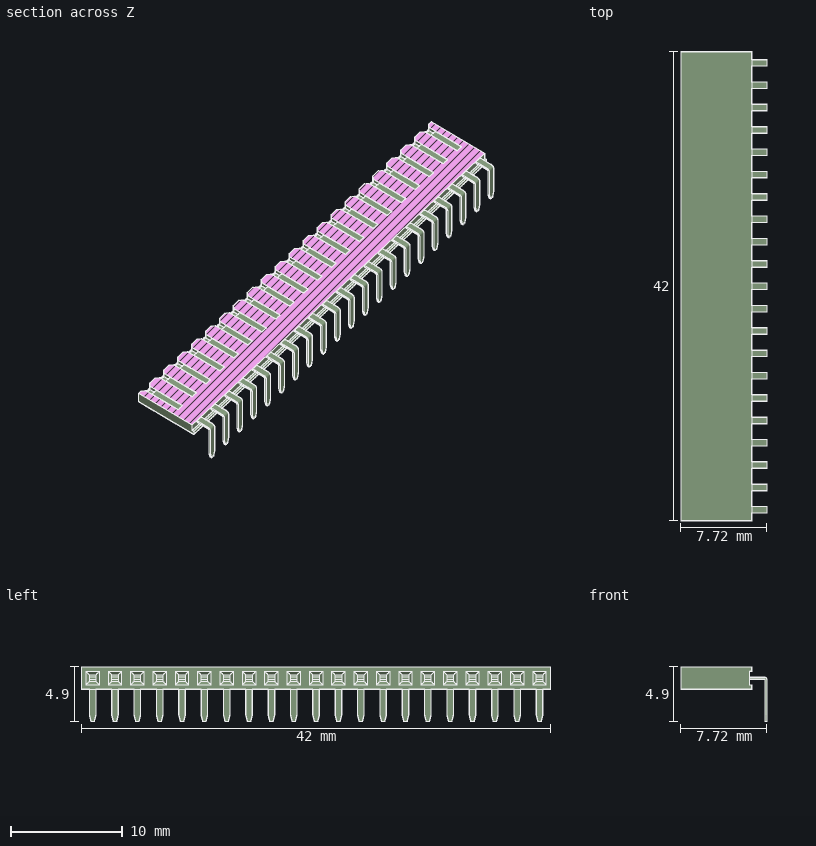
import cadquery as cq

PIN_COUNT = 21
PITCH = 2.0

BODY_DEPTH = 6.35
BODY_HEIGHT = 2.0
BODY_LENGTH = PIN_COUNT * PITCH
BACK_RECESS_DEPTH = 0.2
BACK_RECESS_HEIGHT = 1.2

FUNNEL_MOUTH = 1.2
FUNNEL_DEPTH = 0.3
HOLE_SIZE = 0.6
HOLE_DEPTH = 4.0

PIN_WIDTH = 0.6
PIN_THICKNESS = 0.2
BEND_INNER_RADIUS = 0.1
BEND_OUTER_RADIUS = BEND_INNER_RADIUS + PIN_THICKNESS
PIN_END_X = 7.72
PIN_BOTTOM_Z = -3.9
PIN_START_X = 1.0
TIP_WIDTH = 0.3
TIP_LENGTH = 0.6


def make_housing():
    """Long block with a groove along the whole +X face, centred on Z = 0."""
    block = cq.Workplane("XY").box(BODY_DEPTH, BODY_LENGTH, BODY_HEIGHT)
    block = block.translate((BODY_DEPTH / 2, 0, 0))
    recess = cq.Workplane("XY").box(2 * BACK_RECESS_DEPTH, BODY_LENGTH, BACK_RECESS_HEIGHT)
    return block.cut(recess.translate((BODY_DEPTH, 0, 0)))


def make_socket():
    """Cutter for one socket, opening at X = 0 and running in +X."""
    funnel = (
        cq.Workplane("YZ")
        .rect(FUNNEL_MOUTH, FUNNEL_MOUTH)
        .workplane(offset=FUNNEL_DEPTH)
        .rect(HOLE_SIZE, HOLE_SIZE)
        .loft(ruled=True)
    )
    hole = cq.Workplane("YZ").rect(HOLE_SIZE, HOLE_SIZE).extrude(HOLE_DEPTH)
    return funnel.union(hole)


def make_pin():
    """Flat strip bent down at a right angle, with a tapered tip."""
    top_z = PIN_THICKNESS / 2
    inner_x = PIN_END_X - PIN_THICKNESS
    bend_x = PIN_END_X - BEND_OUTER_RADIUS
    bend_z = top_z - BEND_OUTER_RADIUS
    strip = (
        cq.Workplane("XZ")
        .moveTo(PIN_START_X, top_z)
        .lineTo(bend_x, top_z)
        .radiusArc((PIN_END_X, bend_z), BEND_OUTER_RADIUS)
        .lineTo(PIN_END_X, PIN_BOTTOM_Z)
        .lineTo(inner_x, PIN_BOTTOM_Z)
        .lineTo(inner_x, bend_z)
        .radiusArc((bend_x, -top_z), -BEND_INNER_RADIUS)
        .lineTo(PIN_START_X, -top_z)
        .close()
        .extrude(PIN_WIDTH / 2, both=True)
    )
    shoulder_z = PIN_BOTTOM_Z + TIP_LENGTH
    for side in (-1, 1):
        corner = (
            cq.Workplane("YZ", origin=(inner_x, 0, 0))
            .moveTo(side * PIN_WIDTH / 2, shoulder_z)
            .lineTo(side * PIN_WIDTH / 2, PIN_BOTTOM_Z)
            .lineTo(side * TIP_WIDTH / 2, PIN_BOTTOM_Z)
            .close()
            .extrude(PIN_THICKNESS)
        )
        strip = strip.cut(corner)
    return strip


positions = [(i - (PIN_COUNT - 1) / 2) * PITCH for i in range(PIN_COUNT)]
socket = make_socket()
pin = make_pin()

result = make_housing()
for y in positions:
    result = result.cut(socket.translate((0, y, 0)))
for y in positions:
    result = result.union(pin.translate((0, y, 0)))